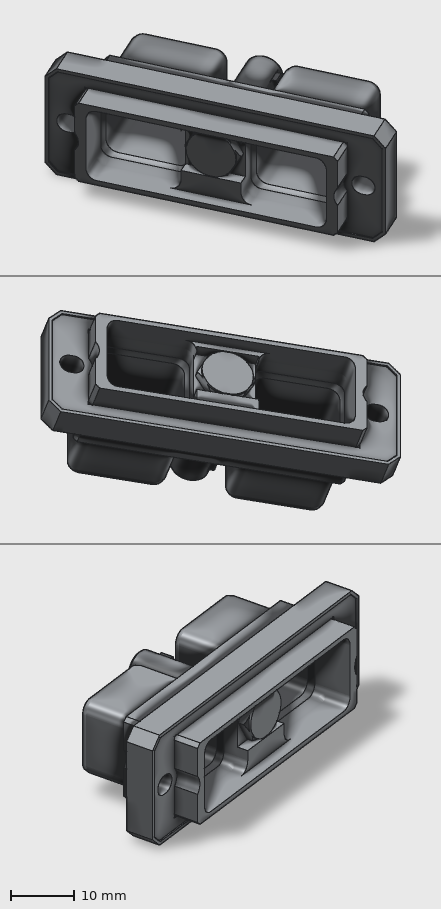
import cadquery as cq
import math


flange_length = 57.45
flange_height = 20.35
flange_front = 4.15
flange_back = 9.15
flange_chamfer = 1.95
rim_width = 0.6
rim_depth = 0.3

slot_pitch = 49.75
slot_length = 3.9
slot_height = 3.4

body_length = 44.35
body_height = 15.05
body_back = 14.2
body_chamfer = 0.7
corner_pocket_depth = 0.25
scallop_height = 3.3
scallop_depth = 0.65

block_pitch = 25.85
block_length = 16.1
block_height = 13.4
block_radius = 2.0
block_back = 23.05
block_taper_length = 0.85
block_taper_inset = 0.2

bay_pitch = 25.35
bay_length = 15.2
bay_height = 13.05
bay_radius = 1.85
ledge_start = 6.8
ledge_end = 7.8
throat_length = 14.2
throat_height = 12.25
throat_radius = 2.05

relief_length = 15.0
relief_height = 13.25
relief_radius = 1.65
ramp_start = 4.25
ramp_end = 6.25

partition_front = 2.2
pocket_back = 4.2
pocket_height = 8.6

post_z = 1.45
post_radius = 3.2
post_back = 26.65
post_chamfer = 0.35
head_front = 2.2
head_across_flats = 8.3
head_face_radius = 4.2
head_neck_depth = 0.4

key_middle = 23.55
key_length = 2.2
key_tip = 3.7
key_height = 3.7
key_chamfer = 0.2
pad_length = 3.5
pad_tip = 2.7


def plane_at(y):
    """Workplane across the part at y, extruding toward +Y; its own axes point along -X and +Z."""
    return cq.Workplane(cq.Plane(origin=(0, y, 0), xDir=(-1, 0, 0), normal=(0, 1, 0)))


def block(length, height, front, back):
    """Box centred on X and Z, running from front to back."""
    return plane_at(front).rect(length, height).extrude(back - front)


def rounded_section(length, height, radius):
    """Rectangle with rounded corners, centred on the origin."""
    return cq.Sketch().rect(length, height).vertices().fillet(radius)


def rounded_prism(length, height, radius, front, back):
    """Rounded rectangle extruded from front to back."""
    return plane_at(front).placeSketch(rounded_section(length, height, radius)).extrude(back - front)


def section_loft(front, front_section, back, back_section):
    """Straight-sided loft between two sections, each given as (length, height, radius)."""
    back_sketch = rounded_section(*back_section).moved(cq.Location((0, 0, back - front)))
    return plane_at(front).placeSketch(rounded_section(*front_section), back_sketch).loft()


def cut_scallops(shape):
    """Cut the shallow round groove along the middle of both ends of a body-sized shape."""
    for side in (-1, 1):
        edge_x = side * body_length / 2
        scallop = (
            cq.Workplane("XZ")
            .moveTo(edge_x, -scallop_height / 2)
            .threePointArc((edge_x - side * scallop_depth, 0), (edge_x, scallop_height / 2))
            .close()
            .extrude(-body_back)
        )
        shape = shape.cut(scallop)
    return shape


def make_flange():
    flange = block(flange_length, flange_height, flange_front, flange_back)
    flange = flange.edges("|Y").chamfer(flange_chamfer)
    rim_outline = flange.faces("<Y").wires().toPending().offset2D(-rim_width)
    flange = flange.cut(rim_outline.extrude(rim_depth, combine=False))
    slots = (
        plane_at(flange_front)
        .pushPoints([(-slot_pitch / 2, 0), (slot_pitch / 2, 0)])
        .slot2D(slot_length, slot_height)
        .extrude(flange_back - flange_front)
    )
    pocket_floor = flange_front + rim_depth + corner_pocket_depth
    corner_pocket = cut_scallops(block(body_length, body_height, flange_front, pocket_floor))
    return flange.cut(slots).cut(corner_pocket)


def make_body():
    body = block(body_length, body_height, 0, body_back).edges("|Y").chamfer(body_chamfer)
    return cut_scallops(body)


def make_rear_block():
    taper_start = block_back - block_taper_length
    straight = rounded_prism(block_length, block_height, block_radius, body_back, taper_start)
    section = (block_length, block_height, block_radius)
    tip_section = (
        block_length - 2 * block_taper_inset,
        block_height - 2 * block_taper_inset,
        block_radius,
    )
    tip = section_loft(taper_start, section, block_back, tip_section)
    return straight.union(tip)


def make_bay():
    bay_section = (bay_length, bay_height, bay_radius)
    throat_section = (throat_length, throat_height, throat_radius)
    relief_section = (relief_length, relief_height, relief_radius)
    ramp_rise = (relief_height - bay_height) / 2
    ramp_section = (relief_length - 2 * ramp_rise, bay_height, relief_radius)

    entry = rounded_prism(*bay_section, 0, ledge_start)
    ledge = section_loft(ledge_start, bay_section, ledge_end, throat_section)
    throat = rounded_prism(*throat_section, ledge_end, block_back)
    relief = rounded_prism(*relief_section, 0, ramp_start)
    ramp = section_loft(ramp_start, relief_section, ramp_end, ramp_section)
    return entry.union(ledge).union(throat).union(relief).union(ramp)


def make_key_step(length, tip):
    """Block from the post axis out to tip, centred along Y on the key."""
    step = cq.Workplane("XY").box(tip, length, key_height, centered=(False, True, True))
    return step.translate((0, key_middle, 0))


def make_post():
    shaft = (
        plane_at(pocket_back)
        .circle(post_radius)
        .extrude(post_back - pocket_back)
        .faces(">Y")
        .chamfer(post_chamfer)
    )
    head_diameter = head_across_flats / math.cos(math.pi / 6)
    hexagon = plane_at(head_front).polygon(6, head_diameter).extrude(pocket_back - head_front)
    corner_depth = head_diameter / 2 - head_face_radius
    shoulder = head_front + head_neck_depth
    head_turning = (
        cq.Workplane("XY")
        .moveTo(0, head_front)
        .lineTo(head_face_radius, head_front)
        .lineTo(head_face_radius, shoulder)
        .line(corner_depth, corner_depth)
        .lineTo(head_diameter / 2, pocket_back)
        .lineTo(0, pocket_back)
        .close()
        .revolve(360, (0, 0, 0), (0, 1, 0))
    )
    key = make_key_step(key_length, key_tip).edges(">X and |Y").chamfer(key_chamfer)
    pad = make_key_step(pad_length, pad_tip)
    return shaft.union(hexagon.intersect(head_turning)).union(key).union(pad).translate((0, 0, post_z))


result = make_flange().union(make_body())

for side in (-1, 1):
    result = result.union(make_rear_block().translate((side * block_pitch / 2, 0, 0)))

for side in (-1, 1):
    result = result.cut(make_bay().translate((side * bay_pitch / 2, 0, 0)))

partition_length = bay_pitch - bay_length
result = result.cut(block(bay_pitch, relief_height, 0, partition_front))
head_pocket = block(partition_length, pocket_height, partition_front, pocket_back)
result = result.cut(head_pocket.translate((0, 0, post_z)))
result = result.union(make_post())